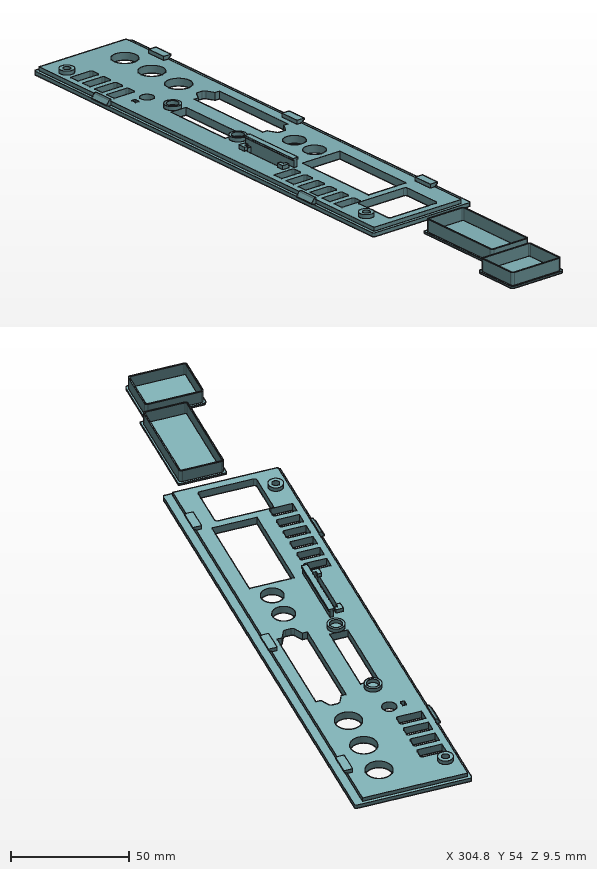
import cadquery as cq

panel_x = 226.8
panel_y_min = 1.0
panel_y_max = 54.0
panel_z = 1.5
layer_height = 1.8
step_z = panel_z + layer_height
deck_z = step_z + layer_height
panel_corner_radius = 1.0
deck_end_inset = 1.5
deck_y_min = 2.5
deck_y_max = 50.0
boss_height = 1.8
boss_z = deck_z + boss_height

jack_diameter = 12.0
jack_x_first = 17.0
jack_pitch = 18.0
jack_count = 3
jack_y = 36.5
din_diameter = 10.0
din_xs = (131.0, 144.5)
din_y = 36.0
button_diameter = 6.5
button_x = 55.8
button_y = 17.0
sensor_width = 2.7
sensor_height = 1.8
sensor_y = 10.7

port_x_min = 70.0
port_x_max = 115.8
port_y_min = 31.0
port_y_max = 44.8
lobe_depth = 4.5
lobe_root_width = 9.0
lobe_tip_width = 4.3
lobe_tip_radius = 1.5

slim_x_min = 74.7
slim_x_max = 111.0
slim_y_min = 14.5
slim_y_max = 23.0
socket_outer = 7.5
socket_inner = 5.5
socket_gap = 3.7
socket_y = 18.5

slot_width = 5.2
slot_row_span = 24.0
slot_y_min = 5.5
slot_corner_radius = 1.0
left_slot_count = 4
slot_pitch = slot_row_span / (left_slot_count - 1)
left_slot_x = 21.3
left_slot_y_max = 17.0
right_slot_count = 6
right_slot_x = 157.3
right_slot_y_max = 16.2

wide_window_x = (152.5, 196.5)
wide_window_y = (23.0, 43.3)
tall_window_x = (200.3, 221.5)
tall_window_y = (13.7, 40.2)
window_corner_radius = 1.2

screw_boss_outer = 6.7
screw_boss_hole = 3.5
screw_boss_xs = (13.5, 213.5)
screw_boss_y = 8.0

rail_x_min = 121.5
rail_x_max = 154.0
rail_cap_y_min = 16.5
rail_cap_y_max = 19.2
rail_top_z = 9.5
rail_cap_height = 1.0
rail_web_y_min = 17.0
rail_web_y_max = 18.5
card_slot_y_min = 12.8
post_x_min = 123.5
post_x_max = 152.7
post_y_min = 12.0
post_leg_x = 3.7
post_leg_y = 3.5
post_thickness = 1.8

catch_length = 10.0
latch_x_starts = (19.5, 108.5, 197.5)
latch_y_min = 47.5
latch_hook = 1.5
latch_lip_height = 0.5
clip_x_starts = (39.5, 176.5)
clip_top_z = 6.0
clip_top_width = 1.0
clip_tip_z_max = 4.0
clip_tip_z_min = 3.7
clip_top_radius = 0.4

flange_height = 1.2
flange_overhang = 1.0
flange_edge_radius = 0.5
plug_wall = 0.5
plug_corner_radius = 1.2
plug_top_z = boss_z
wide_cover_x = (234.5, 279.8)
wide_cover_y = (22.0, 44.0)
wide_flange_radius = 0.3
tall_cover_x = (282.0, 304.8)
tall_cover_y = (12.8, 41.0)
tall_flange_radius = 1.5


def block(x_min, x_max, y_min, y_max, z_min, z_max):
    """Box given by its limits along each axis."""
    size = (x_max - x_min, y_max - y_min, z_max - z_min)
    return cq.Workplane("XY").box(*size, centered=False).translate((x_min, y_min, z_min))


def cylinder(x, y, diameter, z_min, z_max):
    """Upright cylinder on a given centre."""
    return (
        cq.Workplane("XY", origin=(x, y, z_min)).circle(diameter / 2).extrude(z_max - z_min)
    )


def opening(x_min, x_max, y_min, y_max):
    """Rectangular cutter through the whole panel."""
    return block(x_min, x_max, y_min, y_max, panel_z, deck_z)


def round_opening(x, y, diameter):
    """Round cutter through the whole panel and anything standing on it."""
    return cylinder(x, y, diameter, panel_z, boss_z)


def edge_catch(x_start, profile):
    """Prism along X from a (Y, Z) profile."""
    return cq.Workplane("YZ", origin=(x_start, 0, 0)).polyline(profile).close().extrude(catch_length)


def panel_layers():
    base = block(0, panel_x, panel_y_min, panel_y_max, panel_z, step_z)
    base = base.edges("|Z").fillet(panel_corner_radius)
    deck = block(deck_end_inset, panel_x - deck_end_inset, deck_y_min, deck_y_max, step_z, deck_z)
    return base.union(deck)


def cut_round_openings(panel):
    for i in range(jack_count):
        panel = panel.cut(round_opening(jack_x_first + i * jack_pitch, jack_y, jack_diameter))
    for x in din_xs:
        panel = panel.cut(round_opening(x, din_y, din_diameter))
    panel = panel.cut(round_opening(button_x, button_y, button_diameter))
    sensor = opening(
        button_x - sensor_width / 2,
        button_x + sensor_width / 2,
        sensor_y - sensor_height / 2,
        sensor_y + sensor_height / 2,
    )
    return panel.cut(sensor)


def port_lobe(x_root, direction):
    """Cutter that tapers outward along X from an end of the wide connector opening."""
    x_tip = x_root + direction * lobe_depth
    outline = [
        (x_root, -lobe_root_width / 2),
        (x_tip, -lobe_tip_width / 2),
        (x_tip, lobe_tip_width / 2),
        (x_root, lobe_root_width / 2),
    ]
    origin = (0, (port_y_min + port_y_max) / 2, panel_z)
    lobe = cq.Workplane("XY", origin=origin).polyline(outline).close().extrude(deck_z - panel_z)
    tip_edges = ">X" if direction > 0 else "<X"
    return lobe.edges("|Z").edges(tip_edges).fillet(lobe_tip_radius)


def cut_connector_openings(panel):
    panel = panel.cut(opening(port_x_min, port_x_max, port_y_min, port_y_max))
    panel = panel.cut(port_lobe(port_x_min, -1)).cut(port_lobe(port_x_max, 1))
    return panel.cut(opening(slim_x_min, slim_x_max, slim_y_min, slim_y_max))


def cut_slot_row(panel, first_x, count, y_max):
    for i in range(count):
        x_min = first_x + i * slot_pitch - slot_width / 2
        slot = opening(x_min, x_min + slot_width, slot_y_min, y_max)
        panel = panel.cut(slot.edges("|Z and >Y").fillet(slot_corner_radius))
    return panel


def cut_windows(panel):
    panel = panel.cut(opening(*wide_window_x, *wide_window_y))
    tall_window = opening(*tall_window_x, *tall_window_y)
    return panel.cut(tall_window.edges("|Z").fillet(window_corner_radius))


def add_bosses(panel):
    for x in screw_boss_xs:
        panel = panel.union(cylinder(x, screw_boss_y, screw_boss_outer, deck_z, boss_z))
        panel = panel.cut(round_opening(x, screw_boss_y, screw_boss_hole))
    for x in (slim_x_min - socket_gap, slim_x_max + socket_gap):
        socket = cylinder(x, socket_y, socket_outer, deck_z, boss_z)
        panel = panel.union(socket.cut(cylinder(x, socket_y, socket_inner, deck_z, boss_z)))
    return panel


def corner_post(x_outer, direction):
    """L-shaped post whose legs run inward along X and toward the rail along Y."""
    xs = sorted((x_outer, x_outer + direction * post_leg_x))
    wall_xs = sorted((x_outer, x_outer + direction * post_thickness))
    foot = block(*xs, post_y_min, post_y_min + post_thickness, deck_z, boss_z)
    wall = block(*wall_xs, post_y_min, post_y_min + post_leg_y, deck_z, boss_z)
    return foot.union(wall)


def add_card_holder(panel):
    slot = opening(
        post_x_min + post_thickness, post_x_max - post_thickness, card_slot_y_min, rail_web_y_min
    )
    cap_z = rail_top_z - rail_cap_height
    web = block(rail_x_min, rail_x_max, rail_web_y_min, rail_web_y_max, deck_z, cap_z)
    cap = block(rail_x_min, rail_x_max, rail_cap_y_min, rail_cap_y_max, cap_z, rail_top_z)
    panel = panel.cut(slot).union(web).union(cap)
    return panel.union(corner_post(post_x_min, 1)).union(corner_post(post_x_max, -1))


def add_edge_catches(panel):
    latch_profile = [
        (latch_y_min, deck_z),
        (latch_y_min, boss_z),
        (deck_y_max + latch_hook, boss_z),
        (deck_y_max + latch_hook, boss_z - latch_lip_height),
        (deck_y_max, deck_z),
    ]
    clip_profile = [
        (deck_y_min, step_z),
        (deck_y_min, clip_top_z),
        (deck_y_min - clip_top_width, clip_top_z),
        (0, clip_tip_z_max),
        (0, clip_tip_z_min),
        (panel_y_min, step_z),
    ]
    for x in latch_x_starts:
        panel = panel.union(edge_catch(x, latch_profile))
    for x in clip_x_starts:
        clip = edge_catch(x, clip_profile)
        panel = panel.union(clip.edges("|X and >Z").edges("<Y").fillet(clip_top_radius))
    return panel


def make_panel():
    panel = panel_layers()
    panel = cut_round_openings(panel)
    panel = cut_connector_openings(panel)
    panel = cut_slot_row(panel, left_slot_x, left_slot_count, left_slot_y_max)
    panel = cut_slot_row(panel, right_slot_x, right_slot_count, right_slot_y_max)
    panel = cut_windows(panel)
    panel = add_bosses(panel)
    panel = add_card_holder(panel)
    return add_edge_catches(panel)


def make_cover(x_limits, y_limits, flange_radius):
    """Open-topped plug standing on a flange that overhangs it all round."""
    x_min, x_max = x_limits
    y_min, y_max = y_limits
    flange = block(x_min, x_max, y_min, y_max, 0, flange_height)
    flange = flange.edges("|Z").fillet(flange_radius).faces("<Z").edges().fillet(flange_edge_radius)
    plug_limits = (
        x_min + flange_overhang,
        x_max - flange_overhang,
        y_min + flange_overhang,
        y_max - flange_overhang,
    )
    plug = block(*plug_limits, flange_height, plug_top_z).edges("|Z").fillet(plug_corner_radius)
    plug = plug.faces(">Z or <Z").shell(-plug_wall)
    return flange.union(plug)


panel = make_panel()
wide_cover = make_cover(wide_cover_x, wide_cover_y, wide_flange_radius)
tall_cover = make_cover(tall_cover_x, tall_cover_y, tall_flange_radius)

result = cq.Compound.makeCompound([panel.val(), wide_cover.val(), tall_cover.val()])